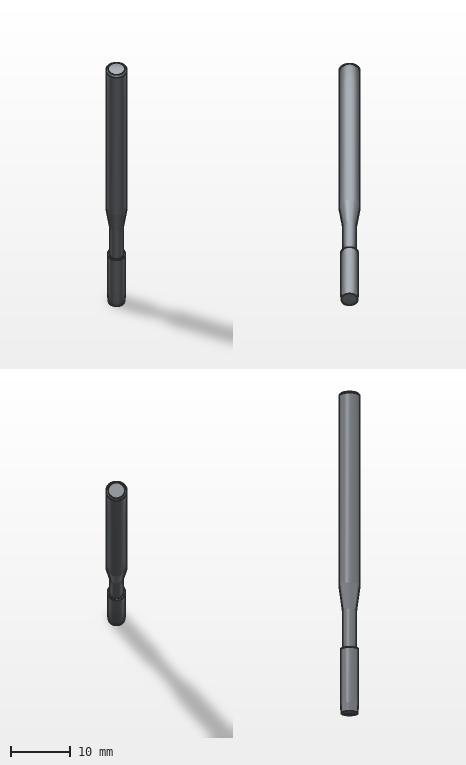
import cadquery as cq

total_length = 56.0
cutter_length = 11.2
lead_length = 1.5
neck_top = 18.0
taper_top = 22.4

shank_diameter = 3.5
neck_diameter = 2.3
cutter_diameter = 2.95
tip_diameter = 2.75

shank_chamfer = 0.35


def revolve_profile(points):
    """Turn a closed half profile of (radius, height) points about the Z axis."""
    return cq.Workplane("XZ").polyline(points).close().revolve(360, (0, 0), (0, 1))


def make_cutter():
    """Cutting end: a cylinder with a slightly tapered lead at its tip."""
    return revolve_profile([
        (0, 0),
        (tip_diameter / 2, 0),
        (cutter_diameter / 2, lead_length),
        (cutter_diameter / 2, cutter_length),
        (0, cutter_length),
    ])


def make_shank():
    """Slim neck that widens through a taper to the shank, chamfered at its free end."""
    shank_radius = shank_diameter / 2
    neck_radius = neck_diameter / 2
    return revolve_profile([
        (0, cutter_length),
        (neck_radius, cutter_length),
        (neck_radius, neck_top),
        (shank_radius, taper_top),
        (shank_radius, total_length - shank_chamfer),
        (shank_radius - shank_chamfer, total_length),
        (0, total_length),
    ])


cutter = make_cutter()
shank = make_shank()

result = cq.Compound.makeCompound([cutter.val(), shank.val()])